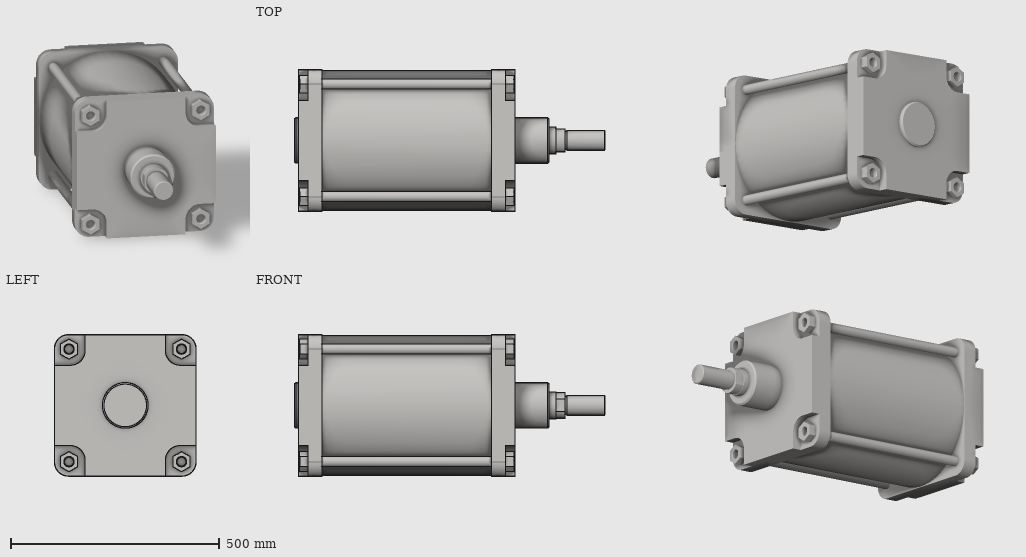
import cadquery as cq
import math

cap_side = 340.0
cap_thickness = 57.0
cap_corner_radius = 34.0
boss_diameter = 110.0
rear_boss_length = 10.0
front_boss_length = 82.0
boss_chamfer = 4.0

pocket_side = 74.0
pocket_depth = 23.0
pocket_radius = 36.0

barrel_diameter = 336.5
barrel_length = 406.5

tie_offset = 135.0
tie_diameter = 24.0
nut_across_flats = 42.0
nut_thickness = 20.0
nut_bore_diameter = 22.0
nut_bore_chamfer = 1.5

overall_length = 746.0
rod_diameter = 65.0
rod_shoulder_length = 16.0
flats_diameter = 63.0
flats_length = 22.5
flats_width = 55.0
stud_diameter = 48.0
stud_chamfer = 2.0
neck_diameter = 45.0
neck_length = 4.5

rear_face_x = rear_boss_length
barrel_start_x = rear_face_x + cap_thickness
barrel_end_x = barrel_start_x + barrel_length
front_face_x = barrel_end_x + cap_thickness
front_boss_end_x = front_face_x + front_boss_length
flats_start_x = front_boss_end_x + rod_shoulder_length
neck_start_x = flats_start_x + flats_length
stud_start_x = neck_start_x + neck_length

corners = [(side_y, side_z) for side_y in (-1, 1) for side_z in (-1, 1)]


def x_plane(x):
    """Plane facing +X whose local axes are Y and Z."""
    return cq.Workplane("YZ", origin=(x, 0, 0))


def cylinder(diameter, start_x, end_x):
    return x_plane(start_x).circle(diameter / 2).extrude(end_x - start_x)


def make_corner_pocket(side_y, side_z):
    """Cutter for one corner of a cap whose outer face lies at x = 0 and whose body is at x > 0."""
    pocket_center = (cap_side - pocket_side) / 2
    inner_corner = cap_side / 2 - pocket_side
    inner_edge_middle = (pocket_depth / 2, side_y * inner_corner, side_z * inner_corner)
    return (
        x_plane(0)
        .center(side_y * pocket_center, side_z * pocket_center)
        .rect(pocket_side, pocket_side)
        .extrude(pocket_depth)
        .edges(cq.selectors.NearestToPointSelector(inner_edge_middle))
        .fillet(pocket_radius)
    )


def make_cap(boss_length):
    """Cap with its outer face at x = 0, its boss toward -X and its plate toward +X."""
    cap = (
        x_plane(0)
        .rect(cap_side, cap_side)
        .extrude(cap_thickness)
        .edges("|X")
        .fillet(cap_corner_radius)
    )
    boss = cylinder(boss_diameter, -boss_length, 0).faces("<X").chamfer(boss_chamfer)
    cap = cap.union(boss)
    for side_y, side_z in corners:
        cap = cap.cut(make_corner_pocket(side_y, side_z))
    tie_holes = (
        x_plane(0)
        .rect(2 * tie_offset, 2 * tie_offset, forConstruction=True)
        .vertices()
        .circle(tie_diameter / 2)
        .extrude(cap_thickness)
    )
    return cap.cut(tie_holes)


def make_rear_cap():
    return make_cap(rear_boss_length).translate((rear_face_x, 0, 0))


def make_front_cap():
    cap = make_cap(front_boss_length).rotate((0, 0, 0), (0, 0, 1), 180).translate((front_face_x, 0, 0))
    return cap.cut(cylinder(rod_diameter, barrel_end_x, front_boss_end_x))


def make_barrel():
    return cylinder(barrel_diameter, barrel_start_x, barrel_end_x)


def make_nut(seat_x, direction):
    """Hexagonal nut with corners pointing along Z, extending outward from seat_x, with a chamfered bore."""
    corner_diameter = nut_across_flats / math.cos(math.radians(30))
    seat = x_plane(seat_x)
    nut = seat.transformed(rotate=(0, 0, 90)).polygon(6, corner_diameter).extrude(direction * nut_thickness)
    nut = nut.cut(seat.circle(nut_bore_diameter / 2).extrude(direction * nut_thickness))
    outer_face = ">X" if direction > 0 else "<X"
    return nut.faces(outer_face).edges("%CIRCLE").chamfer(nut_bore_chamfer)


def make_tie_rod(side_y, side_z):
    """Rod through both caps, in one piece with the nuts seated in their corner pockets."""
    rear_seat_x = rear_face_x + pocket_depth
    front_seat_x = front_face_x - pocket_depth
    tie_rod = cylinder(tie_diameter, rear_seat_x, front_seat_x)
    tie_rod = tie_rod.union(make_nut(rear_seat_x, -1)).union(make_nut(front_seat_x, 1))
    return tie_rod.translate((0, side_y * tie_offset, side_z * tie_offset))


def make_piston_rod():
    shaft = cylinder(rod_diameter, barrel_end_x, flats_start_x)
    flats = cylinder(flats_diameter, flats_start_x, neck_start_x).intersect(
        x_plane(flats_start_x).rect(flats_width, flats_diameter).extrude(flats_length)
    )
    neck = cylinder(neck_diameter, neck_start_x, stud_start_x)
    stud = cylinder(stud_diameter, stud_start_x, overall_length).faces(">X").chamfer(stud_chamfer)
    return shaft.union(flats).union(neck).union(stud)


rear_cap = make_rear_cap()
front_cap = make_front_cap()
barrel = make_barrel()
piston_rod = make_piston_rod()
tie_rods = [make_tie_rod(side_y, side_z) for side_y, side_z in corners]

result = cq.Compound.makeCompound([
    rear_cap.val(),
    front_cap.val(),
    barrel.val(),
    piston_rod.val(),
    *[tie_rod.val() for tie_rod in tie_rods],
])